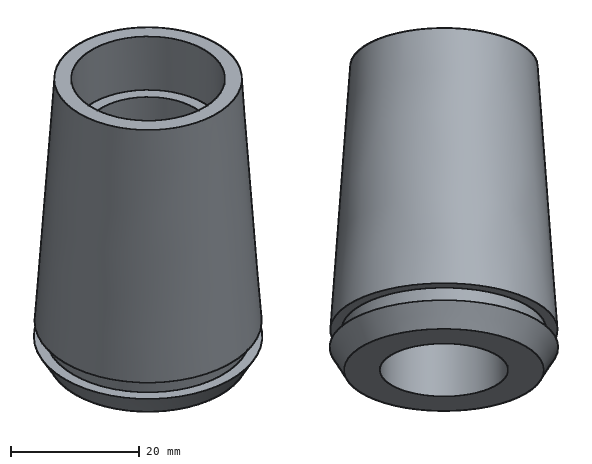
import cadquery as cq

height = 52.0
flange_height = 3.9
groove_height = 2.95
body_base = flange_height + groove_height

flange_diameter = 35.7
flange_bottom_diameter = 31.2
groove_diameter = 32.0
body_bottom_diameter = 35.5
body_top_diameter = 29.35

bore_diameter = 20.0
counterbore_diameter = 24.0
counterbore_depth = 10.0


def outer_body():
    """Tapered collet body above a narrow groove and a conical end flange."""
    return (
        cq.Workplane("XZ")
        .moveTo(0, 0)
        .lineTo(flange_bottom_diameter / 2, 0)
        .lineTo(flange_diameter / 2, flange_height)
        .lineTo(groove_diameter / 2, flange_height)
        .lineTo(groove_diameter / 2, body_base)
        .lineTo(body_bottom_diameter / 2, body_base)
        .lineTo(body_top_diameter / 2, height)
        .lineTo(0, height)
        .close()
        .revolve(360, (0, 0, 0), (0, 1, 0))
    )


result = (
    outer_body()
    .faces(">Z")
    .workplane()
    .cboreHole(bore_diameter, counterbore_diameter, counterbore_depth)
)